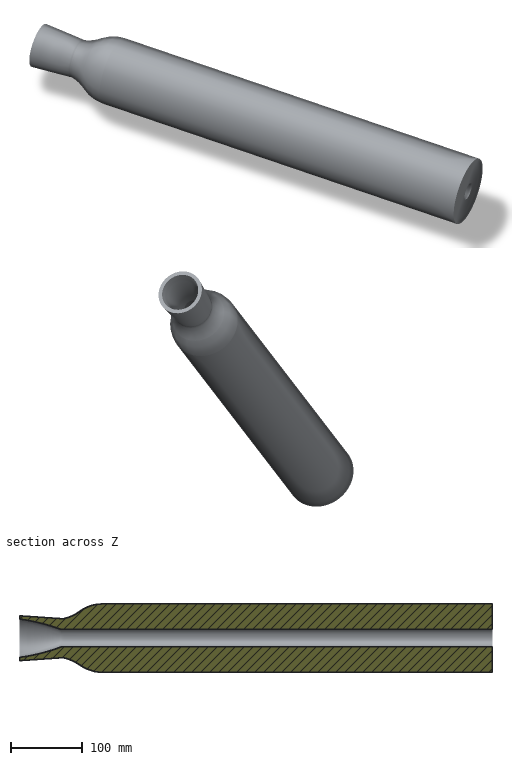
import cadquery as cq

length = 661.5
body_radius = 96.5 / 2

exit_radius = 32.0
neck_radius = 28.0
neck_length = 58.0
waist_width = 4.0
waist_depth = 0.3
waist_end_x = neck_length + waist_width

joint_radius = 76.0 / 2
joint_x = 85.0
dome_end_x = 116.0

rim_width = 5.0
throat_radius = 12.0
bell_length = neck_length
bell_mouth_radius = exit_radius - rim_width
bell_mouth_slope = 0.13
bell_rings = 45


def bell_radius(x):
    """Parabola from the mouth to the throat, with the given slope at the mouth."""
    straight_drop = bell_mouth_slope * bell_length
    curved_drop = bell_mouth_radius - throat_radius - straight_drop
    depth_ratio = x / bell_length
    return bell_mouth_radius - straight_drop * depth_ratio - curved_drop * depth_ratio**2


def revolve_about_x(profile):
    return profile.revolve(360, (0, 0), (1, 0))


def make_outer_body():
    profile = (
        cq.Workplane("XY")
        .lineTo(length, 0)
        .lineTo(length, body_radius)
        .lineTo(dome_end_x, body_radius)
        .tangentArcPoint((joint_x, joint_radius), relative=False)
        .tangentArcPoint((waist_end_x, neck_radius), relative=False)
        .lineTo(neck_length + waist_width / 2, neck_radius - waist_depth)
        .lineTo(neck_length, neck_radius)
        .lineTo(0, exit_radius)
        .close()
    )
    return revolve_about_x(profile)


def make_bore():
    stations = [ring * bell_length / bell_rings for ring in range(bell_rings + 1)]
    bell_wall = [(x, bell_radius(x)) for x in stations]
    profile = cq.Workplane("XY").polyline([(0, 0), *bell_wall, (length, throat_radius), (length, 0)]).close()
    return revolve_about_x(profile)


result = make_outer_body().cut(make_bore())